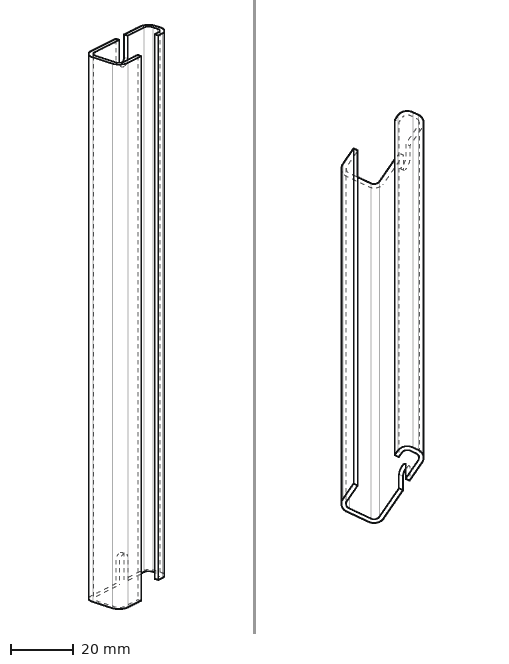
import cadquery as cq

length = 190.0
depth = 15.0
height = 32.0

sheet = 1.5
bend_outer = 3.5
bend_inner = bend_outer - sheet

hook_depth = 9.0
hook_lip = 5.46
long_lip = 10.5

slot_width = 4.2
slot_depth = 10.0
slot_from_top = 13.8

web_x = -depth / 2
bottom_y = -height / 2
top_y = height / 2
slot_y = top_y - slot_from_top


def make_profile():
    """Closed section: outer face from the hook tip to the long lip, then back inside."""
    right_x = web_x + depth
    hook_x = web_x + hook_depth
    hook_tip_y = top_y - hook_lip
    lip_tip_y = bottom_y + long_lip
    straight_low_y = bottom_y + bend_outer
    straight_high_y = top_y - bend_outer
    inner_web_x = web_x + sheet
    inner_lip_x = right_x - sheet
    inner_hook_x = hook_x - sheet
    bend_x = web_x + bend_outer
    long_bend_x = right_x - bend_outer
    hook_bend_x = hook_x - bend_outer
    return (
        cq.Workplane("XY", origin=(0, 0, -length / 2))
        .moveTo(hook_x, hook_tip_y)
        .lineTo(hook_x, straight_high_y)
        .radiusArc((hook_bend_x, top_y), -bend_outer)
        .lineTo(bend_x, top_y)
        .radiusArc((web_x, straight_high_y), -bend_outer)
        .lineTo(web_x, straight_low_y)
        .radiusArc((bend_x, bottom_y), -bend_outer)
        .lineTo(long_bend_x, bottom_y)
        .radiusArc((right_x, straight_low_y), -bend_outer)
        .lineTo(right_x, lip_tip_y)
        .lineTo(inner_lip_x, lip_tip_y)
        .lineTo(inner_lip_x, straight_low_y)
        .radiusArc((long_bend_x, bottom_y + sheet), bend_inner)
        .lineTo(bend_x, bottom_y + sheet)
        .radiusArc((inner_web_x, straight_low_y), bend_inner)
        .lineTo(inner_web_x, straight_high_y)
        .radiusArc((bend_x, top_y - sheet), bend_inner)
        .lineTo(hook_bend_x, top_y - sheet)
        .radiusArc((inner_hook_x, straight_high_y), bend_inner)
        .lineTo(inner_hook_x, hook_tip_y)
        .close()
    )


def make_slot(end):
    """Round-bottomed slot cutter through the web; end is +1 for the top, -1 for the bottom."""
    end_z = end * length / 2
    bottom_z = end_z - end * slot_depth
    round_z = bottom_z + end * slot_width / 2
    side_low_y = slot_y - slot_width / 2
    side_high_y = slot_y + slot_width / 2
    return (
        cq.Workplane("YZ", origin=(web_x, 0, 0))
        .moveTo(side_low_y, end_z)
        .lineTo(side_low_y, round_z)
        .threePointArc((slot_y, bottom_z), (side_high_y, round_z))
        .lineTo(side_high_y, end_z)
        .close()
        .extrude(sheet)
    )


result = make_profile().extrude(length)
for end in (1, -1):
    result = result.cut(make_slot(end))